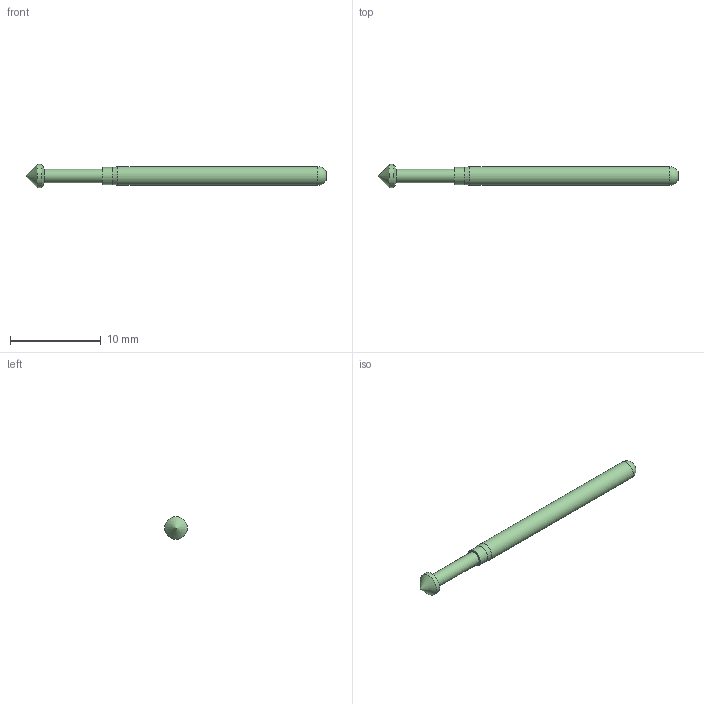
import cadquery as cq
import math

total_length = 33.02
head_radius = 1.27

point_length = 1.25
head_rim_length = 0.5
head_back_length = 0.27
shaft_radius = 0.755

barrel_start = 8.4
collar_radius = 0.943
collar_length = 1.12
taper_length = 0.6
barrel_radius = 1.025
tail_length = 0.889

head_rim_end = point_length + head_rim_length
head_back_end = head_rim_end + head_back_length
collar_end = barrel_start + collar_length
taper_end = collar_end + taper_length
tail_start = total_length - tail_length


def sphere_height(distance):
    """Radius of the spherical tail at a distance past the tail start."""
    return math.sqrt(barrel_radius**2 - distance**2)


def make_probe():
    """Revolve the half profile (X along the axis, Z as radius) around X."""
    tail_middle = tail_length / 2
    profile = (
        cq.Workplane("XZ")
        .lineTo(point_length, head_radius)
        .lineTo(head_rim_end, head_radius)
        .lineTo(head_back_end, shaft_radius)
        .lineTo(barrel_start, shaft_radius)
        .lineTo(barrel_start, collar_radius)
        .lineTo(collar_end, collar_radius)
        .lineTo(taper_end, barrel_radius)
        .lineTo(tail_start, barrel_radius)
        .threePointArc(
            (tail_start + tail_middle, sphere_height(tail_middle)),
            (total_length, sphere_height(tail_length)),
        )
        .lineTo(total_length, 0)
        .close()
    )
    return profile.revolve(360, (0, 0, 0), (1, 0, 0))


result = make_probe()